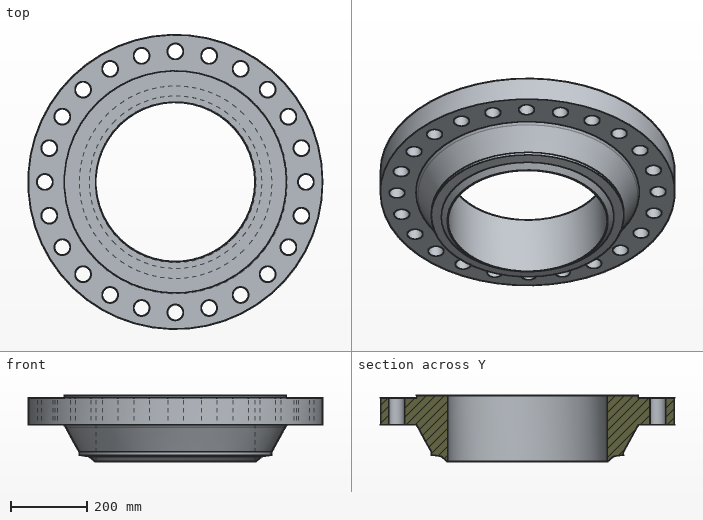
import cadquery as cq

flange_radius = 387.0
total_height = 174.0
bore_radius = 209.0

raised_face_radius = 292.0
raised_face_height = 7.0
flange_thickness = 70.5
flange_top = total_height - raised_face_height
flange_bottom = flange_top - flange_thickness

hub_root_radius = 293.5
hub_top_radius = 289.0
root_bevel_height = 6.0
hub_end_radius = 253.0
hub_end_height = 25.5

rim_height = 8.5
rim_bottom = hub_end_height - rim_height
weld_bevel_radius = 227.0
weld_bevel_height = 13.0
weld_end_radius = 211.5

bolt_count = 24
bolt_circle_radius = 343.0
bolt_hole_diameter = 41.0


def flange_body():
    """Half section revolved about the Z axis, including the bore."""
    section = (
        cq.Workplane("XZ")
        .moveTo(bore_radius, 0)
        .lineTo(weld_end_radius, 0)
        .lineTo(weld_bevel_radius, weld_bevel_height)
        .lineTo(hub_end_radius, rim_bottom)
        .lineTo(hub_end_radius, hub_end_height)
        .lineTo(hub_top_radius, flange_bottom - root_bevel_height)
        .lineTo(hub_root_radius, flange_bottom)
        .lineTo(flange_radius, flange_bottom)
        .lineTo(flange_radius, flange_top)
        .lineTo(raised_face_radius, flange_top)
        .lineTo(raised_face_radius, total_height)
        .lineTo(bore_radius, total_height)
        .close()
    )
    return section.revolve(360, (0, 0, 0), (0, 1, 0))


def bolt_holes():
    """Ring of cylinders that pass through the flange plate."""
    return (
        cq.Workplane("XY")
        .workplane(offset=flange_bottom)
        .polarArray(bolt_circle_radius, 0, 360, bolt_count)
        .circle(bolt_hole_diameter / 2)
        .extrude(flange_thickness)
    )


result = flange_body().cut(bolt_holes())